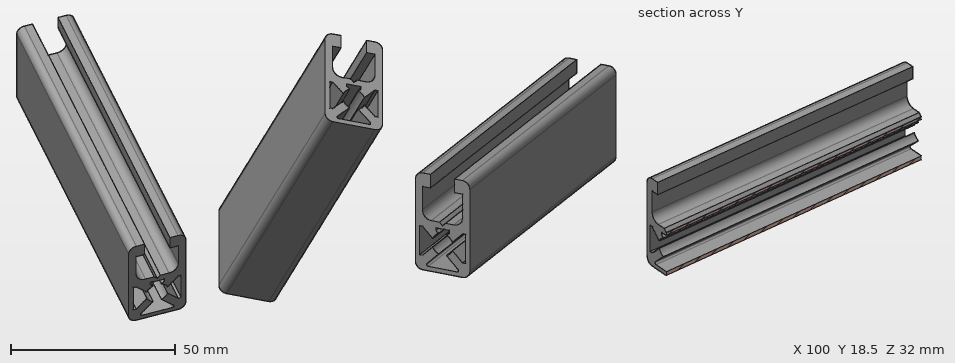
import cadquery as cq

LENGTH = 100.0
WIDTH = 18.5
HEIGHT = 32.0
CORNER_RADIUS = 2.5

MOUTH_WIDTH = 8.2
LIP_THICKNESS = 4.5
CHANNEL_WIDTH = 13.6
CHANNEL_FLOOR_Z = 16.8
CHANNEL_FLOOR_RADIUS = 3.0
GROOVE_DEPTH = 1.0

CORE_Z = 9.6
BORE_RADIUS = 3.6
ARM_OFFSET = 2.0
WALL = 1.5
SIDE_CAVITY_HEIGHT = 9.6
BOTTOM_CAVITY_RADIUS = 0.5
TOP_POCKET_WIDTH = 4.6
TOP_POCKET_Z = 14.7


def section():
    """Sketch plane with local axes along Y and Z."""
    return cq.Workplane("YZ")


def prism(points):
    return section().polyline(points).close().extrude(LENGTH)


def bar(width, bottom, top):
    """Full-length rectangular bar centred on Y = 0."""
    return section().center(0, (bottom + top) / 2).rect(width, top - bottom).extrude(LENGTH)


def channel():
    lip_bottom = HEIGHT - LIP_THICKNESS
    cavity = bar(CHANNEL_WIDTH, CHANNEL_FLOOR_Z, lip_bottom)
    cavity = cavity.edges("|X and <Z").fillet(CHANNEL_FLOOR_RADIUS)
    mouth = bar(MOUTH_WIDTH, lip_bottom, HEIGHT)
    groove = prism([
        (-GROOVE_DEPTH, CHANNEL_FLOOR_Z),
        (0, CHANNEL_FLOOR_Z - GROOVE_DEPTH),
        (GROOVE_DEPTH, CHANNEL_FLOOR_Z),
    ])
    return cavity.union(mouth).union(groove)


def side_cavity(side):
    """Cavity between the upper and lower arms; side is +1 or -1 along Y."""
    half_height = SIDE_CAVITY_HEIGHT / 2
    inner_y = side * (half_height + ARM_OFFSET)
    wall_y = side * (WIDTH / 2 - WALL)
    return prism([
        (side * ARM_OFFSET, CORE_Z),
        (inner_y, CORE_Z + half_height),
        (wall_y, CORE_Z + half_height),
        (wall_y, CORE_Z - half_height),
        (inner_y, CORE_Z - half_height),
    ])


def bottom_cavity():
    half_width = CORE_Z - WALL - ARM_OFFSET
    cavity = prism([
        (0, CORE_Z - ARM_OFFSET),
        (half_width, WALL),
        (-half_width, WALL),
    ])
    return cavity.edges("|X and (<Y or >Y)").fillet(BOTTOM_CAVITY_RADIUS)


def top_pocket():
    half_width = TOP_POCKET_WIDTH / 2
    shoulder_z = CORE_Z + ARM_OFFSET + half_width
    return prism([
        (0, CORE_Z + ARM_OFFSET),
        (half_width, shoulder_z),
        (half_width, TOP_POCKET_Z),
        (-half_width, TOP_POCKET_Z),
        (-half_width, shoulder_z),
    ])


def bore():
    return section().center(0, CORE_Z).circle(BORE_RADIUS).extrude(LENGTH)


result = bar(WIDTH, 0, HEIGHT).edges("|X").fillet(CORNER_RADIUS)
for void in (channel(), bore(), side_cavity(1), side_cavity(-1), bottom_cavity(), top_pocket()):
    result = result.cut(void)